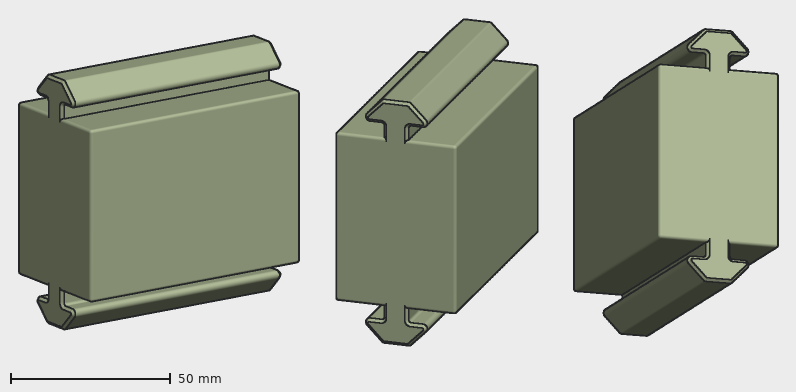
import cadquery as cq

width = 40.0
length = 80.0
overall_height = 81.15
rail_height = 12.6
block_height = overall_height - 2 * rail_height
edge_radius = 1.0

neck_width = 8.0
neck_embed = 4.05
crown_width = 8.9
head_depth = 7.8
end_chamfer = 1.0
crown_radius = 1.05
tip_radius = 1.5
neck_radius = 0.9

half_neck = neck_width / 2
half_crown = crown_width / 2
half_head = half_crown + head_depth
crown_z = overall_height / 2
underside_z = crown_z - head_depth
neck_root_z = block_height / 2 - neck_embed


def make_block():
    return cq.Workplane("XY").box(width, length, block_height).edges().fillet(edge_radius)


def round_pair(rail, x, z, radius):
    """Round the two lengthwise rail edges at -x and +x on height z."""
    for side in (-1, 1):
        edge = cq.selectors.NearestToPointSelector((side * x, 0, z))
        rail = rail.edges(edge).fillet(radius)
    return rail


def make_upper_rail():
    right_side = [
        (half_neck, neck_root_z),
        (half_neck, underside_z),
        (half_head, underside_z),
        (half_crown, crown_z),
    ]
    left_side = [(-x, z) for x, z in reversed(right_side)]
    rail = (
        cq.Workplane("XZ")
        .polyline(right_side + left_side)
        .close()
        .extrude(length / 2, both=True)
    )
    rail = round_pair(rail, half_crown, crown_z, crown_radius)
    rail = round_pair(rail, half_head, underside_z, tip_radius)
    rail = round_pair(rail, half_neck, underside_z, neck_radius)
    return rail.faces("<Y or >Y").chamfer(end_chamfer)


upper_rail = make_upper_rail()
lower_rail = upper_rail.mirror("XY")
result = make_block().union(upper_rail).union(lower_rail)